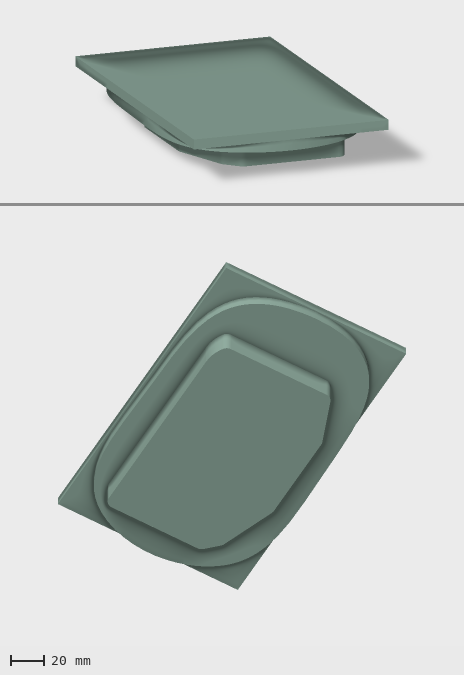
import cadquery as cq
import math

PLATE_LENGTH = 201.19
PLATE_WIDTH = 125.44
TOTAL_HEIGHT = 28.19
PEDESTAL_TOP = 15.0
PLATE_BOTTOM = 22.0

LAYER_HALF_LENGTH = 99.8
LAYER_FRONT_Y = -61.9
LAYER_BACK_Y = 60.9
LAYER_SHOULDER_X = 81.0
LAYER_SHOULDER_Y = 48.0

PEDESTAL_LEFT_X = -63.8
PEDESTAL_RIGHT_X = 73.0
PEDESTAL_FRONT_Y = -44.4
PEDESTAL_BACK_Y = 46.2
FRONT_FLAT_LEFT_X = -31.5
FRONT_FLAT_RIGHT_X = 27.1
FRONT_SLOPE_ANGLE = 21.0
CHAMFER_START_X = 63.4
CHAMFER_ANGLE = 46.0
CORNER_RADIUS = 5.0
BIG_ARC_RADIUS = 47.31 / 2
BIG_ARC_CENTER_X = -48.3


def rise(run, angle):
    """Y distance climbed over an X distance at a slope in degrees."""
    return run * math.tan(math.radians(angle))


def make_plate():
    thickness = TOTAL_HEIGHT - PLATE_BOTTOM
    sketch = cq.Workplane("XY").workplane(offset=PLATE_BOTTOM).rect(PLATE_LENGTH, PLATE_WIDTH)
    return sketch.extrude(thickness)


def make_layer():
    """Smooth closed curve through the four extreme points and four shoulders."""
    outline = [
        (-LAYER_HALF_LENGTH, 0),
        (-LAYER_SHOULDER_X, -LAYER_SHOULDER_Y),
        (0, LAYER_FRONT_Y),
        (LAYER_SHOULDER_X, -LAYER_SHOULDER_Y),
        (LAYER_HALF_LENGTH, 0),
        (LAYER_SHOULDER_X, LAYER_SHOULDER_Y),
        (0, LAYER_BACK_Y),
        (-LAYER_SHOULDER_X, LAYER_SHOULDER_Y),
    ]
    sketch = cq.Workplane("XY").workplane(offset=PEDESTAL_TOP).spline(outline, periodic=True).close()
    return sketch.extrude(PLATE_BOTTOM - PEDESTAL_TOP)


def make_pedestal():
    """Prism with sloped front edges and one large arc at the back left, its corners rounded."""
    arc_center_y = PEDESTAL_BACK_Y - BIG_ARC_RADIUS
    arc_start_x = PEDESTAL_LEFT_X - BIG_ARC_CENTER_X
    arc_start_y = arc_center_y + math.sqrt(BIG_ARC_RADIUS**2 - arc_start_x**2)
    middle_angle = (math.atan2(arc_start_y - arc_center_y, arc_start_x) + math.pi / 2) / 2
    arc_middle = (
        BIG_ARC_CENTER_X + BIG_ARC_RADIUS * math.cos(middle_angle),
        arc_center_y + BIG_ARC_RADIUS * math.sin(middle_angle),
    )
    left_slope_y = PEDESTAL_FRONT_Y + rise(FRONT_FLAT_LEFT_X - PEDESTAL_LEFT_X, FRONT_SLOPE_ANGLE)
    chamfer_start_y = PEDESTAL_FRONT_Y + rise(CHAMFER_START_X - FRONT_FLAT_RIGHT_X, FRONT_SLOPE_ANGLE)
    chamfer_end_y = chamfer_start_y + rise(PEDESTAL_RIGHT_X - CHAMFER_START_X, CHAMFER_ANGLE)
    corners = [
        (PEDESTAL_LEFT_X, arc_start_y),
        (PEDESTAL_LEFT_X, left_slope_y),
        (FRONT_FLAT_LEFT_X, PEDESTAL_FRONT_Y),
        (FRONT_FLAT_RIGHT_X, PEDESTAL_FRONT_Y),
        (CHAMFER_START_X, chamfer_start_y),
        (PEDESTAL_RIGHT_X, chamfer_end_y),
        (PEDESTAL_RIGHT_X, PEDESTAL_BACK_Y),
    ]
    outline = (
        cq.Workplane("XY")
        .polyline(corners)
        .lineTo(BIG_ARC_CENTER_X, PEDESTAL_BACK_Y)
        .threePointArc(arc_middle, corners[0])
        .close()
    )
    prism = outline.extrude(PEDESTAL_TOP)
    for x, y in corners:
        corner = (x, y, PEDESTAL_TOP / 2)
        prism = prism.edges(cq.selectors.NearestToPointSelector(corner)).fillet(CORNER_RADIUS)
    return prism


result = make_pedestal().union(make_layer()).union(make_plate())